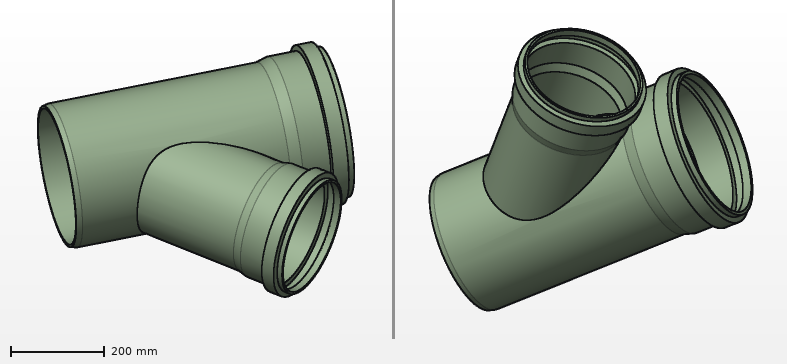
import cadquery as cq

MAIN_LENGTH = 616.0
MAIN_OUTER_DIA = 315.5
MAIN_BORE_DIA = 298.0
SPIGOT_TIP_DIA = 309.0
SPIGOT_TAPER = 12.5

MAIN_SOCKET = {
    "outer_dia": 330.0,
    "inner_dia": 316.0,
    "collar_dia": 355.0,
    "groove_dia": 340.5,
    "cone_start": 476.0,
    "cone_end": 502.0,
    "collar_start": 564.0,
    "collar_end": 603.0,
}

BRANCH_ANGLE = 45.0
BRANCH_ORIGIN_Y = 154.0
BRANCH_LENGTH = 457.0
BRANCH_OUTER_DIA = 251.0
BRANCH_BORE_DIA = 236.5

BRANCH_SOCKET = {
    "outer_dia": 262.0,
    "inner_dia": 251.5,
    "collar_dia": 285.0,
    "groove_dia": 275.0,
    "cone_start": 334.0,
    "cone_end": 354.0,
    "collar_start": 412.0,
    "collar_end": 445.5,
}

COLLAR_START_SLOPE = 2.0
COLLAR_END_SLOPE = 2.5


def revolve_profile(radius_stations):
    """Revolve (radius, distance) stations about the Y axis into a solid."""
    first_distance = radius_stations[0][1]
    last_distance = radius_stations[-1][1]
    outline = [(0, first_distance)] + radius_stations + [(0, last_distance)]
    return cq.Workplane("XY").polyline(outline).close().revolve(360, (0, 0, 0), (0, 1, 0))


def socket_stations(pipe_dia, socket_dia, ring_dia, ring_start, ring_end, socket, length):
    """Stations from the socket cone, past the raised ring, to the mouth."""
    return [
        (pipe_dia / 2, socket["cone_start"]),
        (socket_dia / 2, socket["cone_end"]),
        (socket_dia / 2, ring_start),
        (ring_dia / 2, ring_start + COLLAR_START_SLOPE),
        (ring_dia / 2, ring_end - COLLAR_END_SLOPE),
        (socket_dia / 2, ring_end),
        (socket_dia / 2, length),
    ]


def outer_body(start_stations, pipe_dia, socket, length):
    """Solid outer shape of a pipe with a collared socket."""
    return revolve_profile(start_stations + socket_stations(
        pipe_dia, socket["outer_dia"], socket["collar_dia"],
        socket["collar_start"], socket["collar_end"], socket, length))


def inner_cavity(bore_dia, socket, length):
    """Bore of a pipe, widened in the socket, with a seal groove inside the collar."""
    groove_wall = (socket["collar_dia"] - socket["groove_dia"]) / 2
    return revolve_profile([(bore_dia / 2, 0)] + socket_stations(
        bore_dia, socket["inner_dia"], socket["groove_dia"],
        socket["collar_start"] + groove_wall, socket["collar_end"] - groove_wall, socket, length))


def place_branch(shape):
    """Turn a shape from the main axis onto the branch axis."""
    return shape.rotate((0, 0, 0), (0, 0, 1), -BRANCH_ANGLE).translate((0, BRANCH_ORIGIN_Y, 0))


spigot_start = [(SPIGOT_TIP_DIA / 2, 0), (MAIN_OUTER_DIA / 2, SPIGOT_TAPER)]
main_body = outer_body(spigot_start, MAIN_OUTER_DIA, MAIN_SOCKET, MAIN_LENGTH)
branch_start = [(BRANCH_OUTER_DIA / 2, 0)]
branch_body = place_branch(outer_body(branch_start, BRANCH_OUTER_DIA, BRANCH_SOCKET, BRANCH_LENGTH))

main_cavity = inner_cavity(MAIN_BORE_DIA, MAIN_SOCKET, MAIN_LENGTH)
branch_cavity = place_branch(inner_cavity(BRANCH_BORE_DIA, BRANCH_SOCKET, BRANCH_LENGTH))

result = main_body.union(branch_body).cut(main_cavity).cut(branch_cavity)